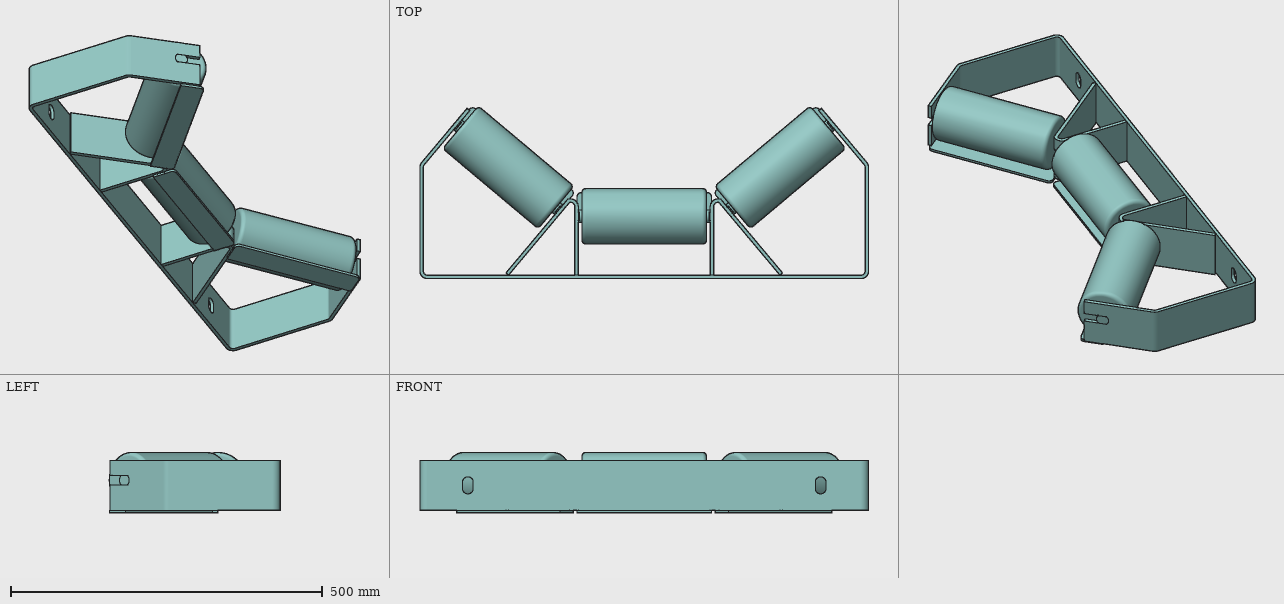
import cadquery as cq
import math

LENGTH = 720.0
HEIGHT = 80.0
SHEET = 6.0
BEND_RADIUS = 12.0
BOLT_SLOT_OFFSET = 283.0
BOLT_SLOT_WIDTH = 17.0
BOLT_SLOT_HEIGHT = 27.0

ROLLER_RADIUS = 45.0
ROLLER_LENGTH = 200.0
ROLLER_ROUNDING = 6.5
AXIS_HEIGHT = 48.0
MIDDLE_AXIS_Y = 100.0
SIDE_CENTER_X = 218.0
SIDE_CENTER_Y = 178.5
SIDE_TILT = 40.0

ROUND_SHAFT_LENGTH = 207.0
SHAFT_DIAMETER = 20.0
SHAFT_FLATS = 15.0
SUPPORT_GAP = 212.0
ARM_REACH = 30.0
BRACKET_TOP_Y = 128.0

PLATE_LENGTH = 216.0
PLATE_WIDTH = 38.0
PLATE_THICKNESS = 4.0
PLATE_ROUNDING = 7.0

CLEARANCE = 1.0

SUPPORT_INSIDE = SUPPORT_GAP / 2
SUPPORT_OUTSIDE = SUPPORT_INSIDE + SHEET
TILT_COS = math.cos(math.radians(SIDE_TILT))
TILT_SIN = math.sin(math.radians(SIDE_TILT))

LEFT_STATION = (-SIDE_CENTER_X, SIDE_CENTER_Y, -SIDE_TILT)
MIDDLE_STATION = (0.0, MIDDLE_AXIS_Y, 0.0)
RIGHT_STATION = (SIDE_CENTER_X, SIDE_CENTER_Y, SIDE_TILT)
STATIONS = [LEFT_STATION, MIDDLE_STATION, RIGHT_STATION]


def place(body, station):
    """Move a body modelled about the origin, with its axis along X, to a roller station."""
    x, y, turn = station
    return body.rotate((0, 0, 0), (0, 0, 1), turn).translate((x, y, 0))


def left_point(along, across):
    """XY point given along and across the axis of the left roller, from its center."""
    x = -SIDE_CENTER_X + along * TILT_COS + across * TILT_SIN
    y = SIDE_CENTER_Y - along * TILT_SIN + across * TILT_COS
    return (x, y)


def left_point_at_x(along, x):
    """Point at the given X on the line square to the left roller axis at `along`."""
    across = (x + SIDE_CENTER_X - along * TILT_COS) / TILT_SIN
    return left_point(along, across)


def left_point_at_y(along, y):
    """Point at the given Y on the line square to the left roller axis at `along`."""
    across = (y - SIDE_CENTER_Y + along * TILT_SIN) / TILT_COS
    return left_point(along, across)


def mirrored(points):
    return [(-x, y) for x, y in reversed(points)]


def upright_edge(x, y):
    """Selector for the vertical edge through an XY point."""
    low = (x - CLEARANCE, y - CLEARANCE, -HEIGHT)
    high = (x + CLEARANCE, y + CLEARANCE, HEIGHT)
    return cq.selectors.BoxSelector(low, high)


def sheet_body(outline):
    """Extrude a plan outline over the frame height; Z = 0 is the roller axis."""
    base = cq.Workplane("XY").workplane(offset=-AXIS_HEIGHT)
    return base.polyline(outline).close().extrude(HEIGHT)


def round_bar(radius, length):
    """Cylinder along X, centered on the origin."""
    return cq.Workplane("YZ").workplane(offset=-length / 2).circle(radius).extrude(length)


def flatted_bar(length):
    """Round bar along X with two flats, facing up and down."""
    bar = round_bar(SHAFT_DIAMETER / 2, length)
    return bar.intersect(cq.Workplane("XY").box(length, SHAFT_DIAMETER, SHAFT_FLATS))


def shaft_slots(station, start, end, reach):
    """Cutter for the pair of open slots between `start` and `end` along a roller axis."""
    seat = flatted_bar(2 * end)
    mouth = cq.Workplane("XY").box(2 * end, reach, SHAFT_FLATS).translate((0, reach / 2, 0))
    between = cq.Workplane("XY").box(2 * start, 2 * (reach + SHAFT_DIAMETER), 2 * SHAFT_FLATS)
    return place(seat.union(mouth).cut(between), station)


def make_frame():
    half_length = LENGTH / 2
    outside = [
        (-half_length, 0),
        left_point_at_x(-SUPPORT_OUTSIDE, -half_length),
        left_point(-SUPPORT_OUTSIDE, ARM_REACH),
    ]
    inside = [
        left_point(-SUPPORT_INSIDE, ARM_REACH),
        left_point_at_x(-SUPPORT_INSIDE, -half_length + SHEET),
        (-half_length + SHEET, SHEET),
    ]
    left_half = outside + inside
    frame = sheet_body(left_half + mirrored(left_half))

    for corners, radius in ((outside[:2], BEND_RADIUS), (inside[1:], BEND_RADIUS - SHEET)):
        for x, y in corners + mirrored(corners):
            frame = frame.edges(upright_edge(x, y)).fillet(radius)

    slot_end = SUPPORT_OUTSIDE + CLEARANCE
    slot_reach = ARM_REACH + CLEARANCE
    for station in (LEFT_STATION, RIGHT_STATION):
        frame = frame.cut(shaft_slots(station, SUPPORT_INSIDE, slot_end, slot_reach))

    bolt_slots = (
        cq.Workplane("XZ")
        .workplane(origin=(0, 0, HEIGHT / 2 - AXIS_HEIGHT))
        .pushPoints([(-BOLT_SLOT_OFFSET, 0), (BOLT_SLOT_OFFSET, 0)])
        .slot2D(BOLT_SLOT_HEIGHT, BOLT_SLOT_WIDTH, 90)
        .extrude(-SHEET)
    )
    return frame.cut(bolt_slots)


def make_left_bracket():
    """Bent sheet with an upright leg for the middle roller and a slanted leg for the left one."""
    top_bend_outside = (-SUPPORT_INSIDE, BRACKET_TOP_Y)
    top_bend_inside = (-SUPPORT_OUTSIDE, BRACKET_TOP_Y - SHEET)
    slant_toe = left_point_at_y(SUPPORT_OUTSIDE, SHEET)
    slant_end = (slant_toe[0] - SHEET * TILT_COS, slant_toe[1] + SHEET * TILT_SIN)
    bracket = sheet_body(
        [
            (-SUPPORT_INSIDE, SHEET),
            top_bend_outside,
            left_point_at_y(SUPPORT_INSIDE, BRACKET_TOP_Y),
            slant_end,
            slant_toe,
            left_point_at_y(SUPPORT_OUTSIDE, BRACKET_TOP_Y - SHEET),
            top_bend_inside,
            (-SUPPORT_OUTSIDE, SHEET),
        ]
    )
    bracket = bracket.edges(upright_edge(*top_bend_outside)).fillet(BEND_RADIUS)
    bracket = bracket.edges(upright_edge(*top_bend_inside)).fillet(BEND_RADIUS - SHEET)

    slot_end = SUPPORT_OUTSIDE + 2 * SHEET
    slot_reach = BRACKET_TOP_Y - MIDDLE_AXIS_Y + CLEARANCE
    for station in (LEFT_STATION, MIDDLE_STATION):
        bracket = bracket.cut(shaft_slots(station, SUPPORT_INSIDE, slot_end, slot_reach))
    return bracket


def make_roller():
    """Roller along X with its flatted shaft ends."""
    roller = round_bar(ROLLER_RADIUS, ROLLER_LENGTH)
    roller = roller.edges("%CIRCLE").fillet(ROLLER_ROUNDING)
    round_shaft = round_bar(SHAFT_DIAMETER / 2, ROUND_SHAFT_LENGTH)
    return roller.union(round_shaft).union(flatted_bar(2 * SUPPORT_OUTSIDE))


def make_plate():
    """Flat plate under the lower edges of the sheets, from the roller axis outwards."""
    plate = cq.Workplane("XY").box(PLATE_LENGTH, PLATE_WIDTH, PLATE_THICKNESS)
    plate = plate.edges("|Z and >Y").fillet(PLATE_ROUNDING)
    return plate.translate((0, PLATE_WIDTH / 2, -AXIS_HEIGHT - PLATE_THICKNESS / 2))


frame = make_frame()
left_bracket = make_left_bracket()
brackets = [left_bracket, left_bracket.mirror("YZ")]
rollers = [place(make_roller(), station) for station in STATIONS]
plates = [place(make_plate(), station) for station in STATIONS]

bodies = [frame, *brackets, *rollers, *plates]
result = cq.Compound.makeCompound([body.val() for body in bodies])